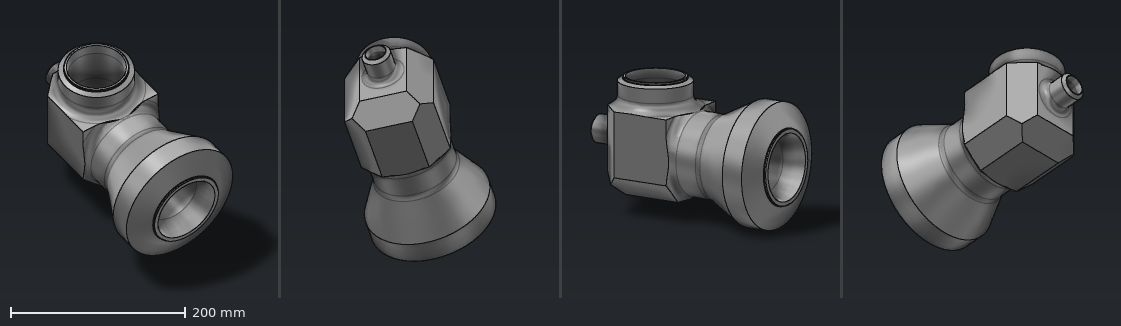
import cadquery as cq
import math


block_left = -47.7
block_right = 48.5
block_half_width = 53.0
block_bottom = -53.0
block_chamfer = 25.0

lip_step = 0.8

neck_radius = 50.0
neck_fillet = 11.5
neck_end = 90.1
horn_blend = 15.5
horn_radius = 150.0 / 2
horn_rim_start = 139.0
horn_rim_end = 165.2
horn_lip_start = 177.2
horn_lip_radius = 90.0 / 2
horn_end = 179.0
horn_mouth_radius = 80.0 / 2
horn_mouth_depth = 26.0

block_top = neck_radius
port_radius = 44.0
port_fillet = 12.7
port_shoulder = 79.8
port_lip_radius = 74.0 / 2
port_lip_start = 83.1
port_top = 160.0 - horn_radius
port_mouth_radius = 34.5
port_mouth_depth = 11.0

nozzle_end = horn_end - 259
nozzle_height = 12.5
nozzle_radius = 34.0 / 2
nozzle_fillet = 8.3
nozzle_bevel_length = 3.4
nozzle_tip_radius = 12.7
nozzle_bore_radius = 20.0 / 2
nozzle_mouth_radius = 12.0
nozzle_mouth_depth = 7.8

bore_radius = 65.0 / 2
bend_radius = 33.7


def chamfered_prism(right):
    """Block section from its chamfered left face to the given X."""
    inner_left = block_left + block_chamfer
    inner_width = block_half_width - block_chamfer
    inner_bottom = block_bottom + block_chamfer
    plan = [
        (right, -block_half_width),
        (right, block_half_width),
        (inner_left, block_half_width),
        (block_left, inner_width),
        (block_left, -inner_width),
        (inner_left, -block_half_width),
    ]
    side_profile = [
        (right, block_bottom),
        (right, block_top),
        (block_left, block_top),
        (block_left, inner_bottom),
        (inner_left, block_bottom),
    ]
    end_profile = [
        (-block_half_width, block_top),
        (block_half_width, block_top),
        (block_half_width, inner_bottom),
        (inner_width, block_bottom),
        (-inner_width, block_bottom),
        (-block_half_width, inner_bottom),
    ]
    height = block_top - block_bottom
    upright = cq.Workplane("XY", origin=(0, 0, block_bottom)).polyline(plan).close().extrude(height)
    across = cq.Workplane("XZ").polyline(side_profile).close().extrude(block_half_width, both=True)
    along = (
        cq.Workplane("YZ", origin=(block_left, 0, 0))
        .polyline(end_profile)
        .close()
        .extrude(right - block_left)
    )
    return upright.intersect(across).intersect(along)


def fillet_middle(center_x, center_y, radius, x_sign, y_sign):
    """Midpoint of a quarter arc lying in the chosen quadrant of its circle."""
    reach = radius * math.sqrt(0.5)
    return (center_x + x_sign * reach, center_y + y_sign * reach)


def make_horn():
    slope = math.atan2(horn_radius - neck_radius, horn_rim_start - neck_end)
    tangent = horn_blend * math.tan(slope / 2)
    middle = (
        neck_end - tangent + horn_blend * math.sin(slope / 2),
        neck_radius + horn_blend * (1 - math.cos(slope / 2)),
    )
    blend_end = (
        neck_end + tangent * math.cos(slope),
        neck_radius + tangent * math.sin(slope),
    )
    return (
        cq.Workplane("XZ")
        .moveTo(0, 0)
        .lineTo(0, neck_radius)
        .lineTo(neck_end - tangent, neck_radius)
        .threePointArc(middle, blend_end)
        .lineTo(horn_rim_start, horn_radius)
        .lineTo(horn_rim_end, horn_radius)
        .lineTo(horn_lip_start - lip_step, horn_lip_radius + lip_step)
        .lineTo(horn_lip_start, horn_lip_radius)
        .lineTo(horn_end, horn_lip_radius)
        .lineTo(horn_end, 0)
        .close()
        .revolve(360, (0, 0, 0), (1, 0, 0))
    )


def make_neck_fillet():
    """Fillet ring between neck and block, trimmed to the block section."""
    outer = neck_radius + neck_fillet
    end = block_right + neck_fillet
    ring = (
        cq.Workplane("XZ")
        .moveTo(block_right, 0)
        .lineTo(block_right, outer)
        .threePointArc(fillet_middle(end, outer, neck_fillet, -1, -1), (end, neck_radius))
        .lineTo(end, 0)
        .close()
        .revolve(360, (0, 0, 0), (1, 0, 0))
    )
    return ring.intersect(chamfered_prism(end))


def make_port():
    outer = port_radius + port_fillet
    fillet_top = block_top + port_fillet
    port = (
        cq.Workplane("XZ")
        .moveTo(0, block_top)
        .lineTo(outer, block_top)
        .threePointArc(fillet_middle(outer, fillet_top, port_fillet, -1, -1), (port_radius, fillet_top))
        .lineTo(port_radius, port_shoulder)
        .lineTo(port_lip_radius + lip_step, port_lip_start - lip_step)
        .lineTo(port_lip_radius, port_lip_start)
        .lineTo(port_lip_radius, port_top)
        .lineTo(0, port_top)
        .close()
        .revolve(360, (0, 0, 0), (0, 1, 0))
    )
    footprint = (
        chamfered_prism(outer)
        .faces(">Z")
        .wires()
        .toPending()
        .extrude(port_top - block_top, combine=False)
    )
    return port.intersect(footprint)


def make_nozzle():
    outer = nozzle_radius + nozzle_fillet
    fillet_start = block_left - nozzle_fillet
    middle = fillet_middle(fillet_start, outer, nozzle_fillet, 1, -1)
    return (
        cq.Workplane("XZ")
        .moveTo(nozzle_end, 0)
        .lineTo(nozzle_end, nozzle_tip_radius)
        .lineTo(nozzle_end + nozzle_bevel_length, nozzle_radius)
        .lineTo(fillet_start, nozzle_radius)
        .threePointArc(middle, (block_left, outer))
        .lineTo(block_left, 0)
        .close()
        .revolve(360, (0, 0, 0), (1, 0, 0))
        .translate((0, 0, nozzle_height))
    )


def tapered_bore(mouth, direction, mouth_radius, mouth_depth, radius, length):
    """Round bore that narrows from its mouth and then runs straight."""
    origin = cq.Vector(*mouth)
    axis = cq.Vector(*direction)
    taper = cq.Solid.makeCone(mouth_radius, radius, mouth_depth, origin, axis)
    straight = cq.Solid.makeCylinder(radius, length - mouth_depth, origin + axis * mouth_depth, axis)
    return cq.Workplane(taper).union(cq.Workplane(straight))


def make_elbow():
    """Quarter-torus bend joining the port bore to the horn bore."""
    return (
        cq.Workplane("XY", origin=(0, 0, bend_radius))
        .circle(bore_radius)
        .revolve(90, (bend_radius, 0, 0), (bend_radius, -1, 0))
    )


body = chamfered_prism(block_right).union(make_horn()).union(make_neck_fillet())
body = body.union(make_port()).union(make_nozzle())

port_bore = tapered_bore(
    (0, 0, port_top), (0, 0, -1), port_mouth_radius, port_mouth_depth, bore_radius, port_top - bend_radius
)
horn_bore = tapered_bore(
    (horn_end, 0, 0), (-1, 0, 0), horn_mouth_radius, horn_mouth_depth, bore_radius, horn_end - bend_radius
)
nozzle_bore = tapered_bore(
    (nozzle_end, 0, nozzle_height), (1, 0, 0),
    nozzle_mouth_radius, nozzle_mouth_depth, nozzle_bore_radius, -nozzle_end,
)
elbow = make_elbow()

result = body.cut(port_bore).cut(horn_bore).cut(elbow).cut(nozzle_bore)